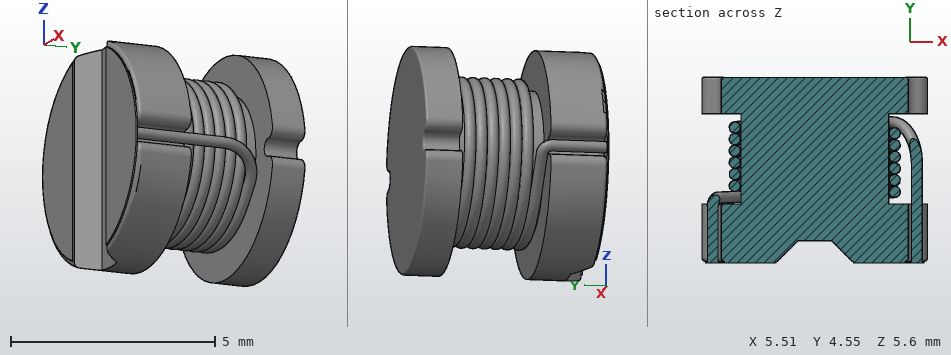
import cadquery as cq
import math

flange_radius = 2.8
core_radius = 1.81
total_length = 4.55
front_flange_back = 1.45
rear_flange_front = 3.645
pad_thickness = 0.04
pad_radius = 2.67
pad_inner_x = 0.945
front_rim_fillet = 0.09
rear_rim_fillet = 0.055

notch_radius = 0.225
notch_center_x = 2.51
notch_lip_fillet = 0.245

groove_floor_half_width = 0.415
groove_floor_y = 0.545

wire_radius = 0.14
wire_clearance = 0.005
coil_radius = core_radius + wire_radius + wire_clearance
coil_pitch = 0.285
full_turns = 6
coil_middle_y = 2.53
lead_x = 2.49
finish_bend_setback = 0.225
start_bend_setback = 1.01
wire_joint_tolerance = 0.001

tangent_angle = math.acos(coil_radius / lead_x)
tangent_x = coil_radius * math.cos(tangent_angle)
tangent_z = -coil_radius * math.sin(tangent_angle)
tangent_length = lead_x * math.sin(tangent_angle)
extra_turns = (math.pi - 2 * tangent_angle) / (2 * math.pi)
coil_length = coil_pitch * (full_turns + extra_turns)
lead_rise = tangent_length * coil_pitch / (2 * math.pi * coil_radius)


def disc(radius, y_front, y_back):
    """Solid cylinder along Y between two Y positions."""
    return cq.Workplane("XZ", origin=(0, y_front, 0)).circle(radius).extrude(y_front - y_back)


def flange(y_front, y_back, rim_selector, rim_fillet):
    """Disc with rounded notches at +X and -X and one rounded rim."""
    body = disc(flange_radius, y_front, y_back)
    notch_length = flange_radius
    for side in (-1, 1):
        cutter = (
            cq.Workplane("XZ", origin=(side * (notch_center_x + notch_length / 2), y_front, 0))
            .slot2D(notch_length + 2 * notch_radius, 2 * notch_radius)
            .extrude(y_front - y_back)
        )
        body = body.cut(cutter)
    lip_x = math.sqrt(flange_radius**2 - notch_radius**2)
    for side in (-1, 1):
        for end in (-1, 1):
            lip = cq.selectors.NearestToPointSelector(
                (side * lip_x, (y_front + y_back) / 2, end * notch_radius)
            )
            body = body.edges(lip).fillet(notch_lip_fillet)
    return body.faces(rim_selector).edges().fillet(rim_fillet)


def terminal_pads():
    """Two thin circular segments on either side of the groove."""
    gap = cq.Workplane("XY").box(2 * pad_inner_x, 2 * total_length, 3 * flange_radius)
    return disc(pad_radius, 0, pad_thickness).cut(gap)


def groove():
    """Trapezoidal cutter running the full height along Z."""
    mouth_half_width = groove_floor_half_width + groove_floor_y
    return (
        cq.Workplane("XY")
        .polyline([
            (-mouth_half_width, 0),
            (-groove_floor_half_width, groove_floor_y),
            (groove_floor_half_width, groove_floor_y),
            (mouth_half_width, 0),
        ])
        .close()
        .extrude(flange_radius, both=True)
    )


def lead_edges(side, start_y):
    """Path of one lead: straight run off the coil, bend toward -Y, run to the pad."""
    bend_setback = start_bend_setback if side > 0 else finish_bend_setback
    start = cq.Vector(side * tangent_x, start_y, tangent_z)
    corner = cq.Vector(side * lead_x, start_y + side * lead_rise, 0)
    direction = (corner - start).normalized()
    bend_start = corner - direction * bend_setback
    bend_end = corner - cq.Vector(0, bend_setback, 0)
    foot = cq.Vector(corner.x, pad_thickness / 2, 0)
    return [
        cq.Edge.makeLine(start, bend_start),
        cq.Edge.makeTangentArc(bend_start, direction, bend_end),
        cq.Edge.makeLine(bend_end, foot),
    ]


def winding():
    """Round wire: a helix advancing toward -Y, with a tangent lead at each end."""
    start_y = coil_middle_y + coil_length / 2
    finish_y = coil_middle_y - coil_length / 2
    helix = (
        cq.Workplane(obj=cq.Wire.makeHelix(coil_pitch, coil_length, coil_radius, lefthand=True))
        .rotate((0, 0, 0), (0, 0, 1), -math.degrees(tangent_angle))
        .rotate((0, 0, 0), (1, 0, 0), 90)
        .translate((0, start_y, 0))
    )
    edges = lead_edges(1, start_y) + helix.val().Edges() + lead_edges(-1, finish_y)
    path = cq.Wire.combine(edges, wire_joint_tolerance)[0]
    foot = cq.Workplane("XZ", origin=(lead_x, pad_thickness / 2, 0))
    return foot.circle(wire_radius).sweep(cq.Workplane(obj=path))


front_flange = flange(pad_thickness, front_flange_back, "<Y", front_rim_fillet)
rear_flange = flange(rear_flange_front, total_length, ">Y", rear_rim_fillet)
core = disc(core_radius, front_flange_back, rear_flange_front)
drum = front_flange.cut(groove()).union(core).union(rear_flange).union(terminal_pads())

result = drum.union(winding())